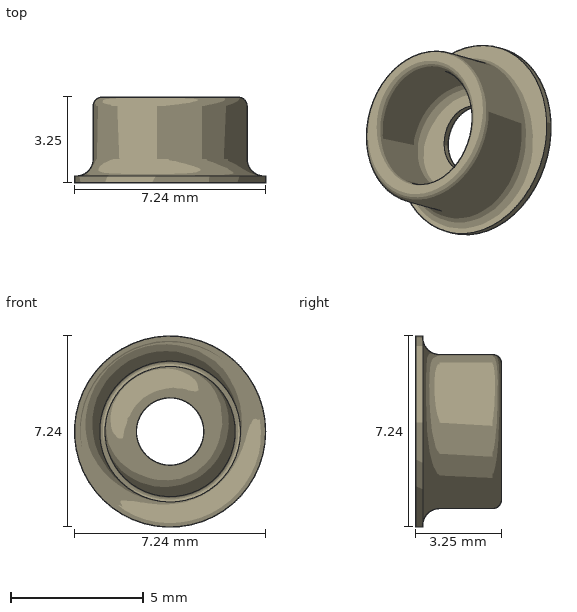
import cadquery as cq
import math


length = 3.25
flange_radius = 3.62
flange_thickness = 0.267
body_radius = 2.92
hole_radius = 1.27
sheet = 0.254

flare_outside_bend = 0.635
lip_outer_radius = 3.472
lip_width = 0.095

fold_inside_bend = 0.0889
fold_flat = 0.0254
dome_front = 0.127
dome_inside_bend = 0.635

bore_radius = body_radius - sheet
fold_outside_bend = fold_inside_bend + sheet
fold_center_y = length - fold_outside_bend
fold_outer_center = bore_radius - fold_inside_bend
fold_inner_center = fold_outer_center - fold_flat
groove_bottom_y = fold_center_y + fold_inside_bend

dome_radius = fold_inner_center - fold_inside_bend
dome_cavity_radius = dome_radius - sheet
dome_outside_bend = dome_inside_bend + sheet
dome_center_radius = dome_radius - dome_outside_bend
dome_center_y = dome_front + dome_outside_bend
dome_back = dome_front + sheet

flare_inside_bend = flare_outside_bend + sheet
flare_center_radius = body_radius + flare_outside_bend
flare_center_y = flange_thickness + flare_outside_bend
mouth_radius = lip_outer_radius - lip_width
mouth_angle = math.acos((flare_center_radius - mouth_radius) / flare_inside_bend)
mouth_y = flare_center_y - flare_inside_bend * math.sin(mouth_angle)

lip_bend = (lip_width**2 + mouth_y**2) / (2 * mouth_y)
lip_angle = 2 * math.atan(mouth_y / lip_width)


def arc_point(center_radius, center_y, bend, degrees):
    """Point on a bend, with the angle measured from the radial direction toward +Y."""
    angle = math.radians(degrees)
    return (
        center_radius + bend * math.cos(angle),
        center_y + bend * math.sin(angle),
    )


def draw_outer_skin(profile):
    """Flange rim, outer flare, body wall and the outside of the fold."""
    return (
        profile.moveTo(lip_outer_radius, 0)
        .lineTo(flange_radius, 0)
        .lineTo(flange_radius, flange_thickness)
        .lineTo(flare_center_radius, flange_thickness)
        .threePointArc(
            arc_point(flare_center_radius, flare_center_y, flare_outside_bend, 225),
            (body_radius, flare_center_y),
        )
        .lineTo(body_radius, fold_center_y)
        .threePointArc(
            arc_point(fold_outer_center, fold_center_y, fold_outside_bend, 45),
            (fold_outer_center, length),
        )
        .lineTo(fold_inner_center, length)
        .threePointArc(
            arc_point(fold_inner_center, fold_center_y, fold_outside_bend, 135),
            (dome_cavity_radius, fold_center_y),
        )
    )


def draw_dome(profile):
    """Inside of the dome, the hole edge and the outside of the dome."""
    return (
        profile.lineTo(dome_cavity_radius, dome_center_y)
        .threePointArc(
            arc_point(dome_center_radius, dome_center_y, dome_inside_bend, -45),
            (dome_center_radius, dome_back),
        )
        .lineTo(hole_radius, dome_back)
        .lineTo(hole_radius, dome_front)
        .lineTo(dome_center_radius, dome_front)
        .threePointArc(
            arc_point(dome_center_radius, dome_center_y, dome_outside_bend, -45),
            (dome_radius, dome_center_y),
        )
    )


def draw_groove(profile):
    """Narrow groove between the dome and the bore, rounded at its bottom."""
    return (
        profile.lineTo(dome_radius, fold_center_y)
        .threePointArc(
            arc_point(fold_inner_center, fold_center_y, fold_inside_bend, 135),
            (fold_inner_center, groove_bottom_y),
        )
        .lineTo(fold_outer_center, groove_bottom_y)
        .threePointArc(
            arc_point(fold_outer_center, fold_center_y, fold_inside_bend, 45),
            (bore_radius, fold_center_y),
        )
    )


def draw_mouth(profile):
    """Bore, inner flare and the rounded lip back to the flange face."""
    flare_middle = 180 + math.degrees(mouth_angle) / 2
    lip_middle = 270 - math.degrees(lip_angle) / 2
    return (
        profile.lineTo(bore_radius, flare_center_y)
        .threePointArc(
            arc_point(flare_center_radius, flare_center_y, flare_inside_bend, flare_middle),
            (mouth_radius, mouth_y),
        )
        .threePointArc(
            arc_point(lip_outer_radius, lip_bend, lip_bend, lip_middle),
            (lip_outer_radius, 0),
        )
    )


half_section = draw_outer_skin(cq.Workplane("XY"))
half_section = draw_dome(half_section)
half_section = draw_groove(half_section)
half_section = draw_mouth(half_section).close()

result = half_section.revolve(360, (0, 0, 0), (0, 1, 0))